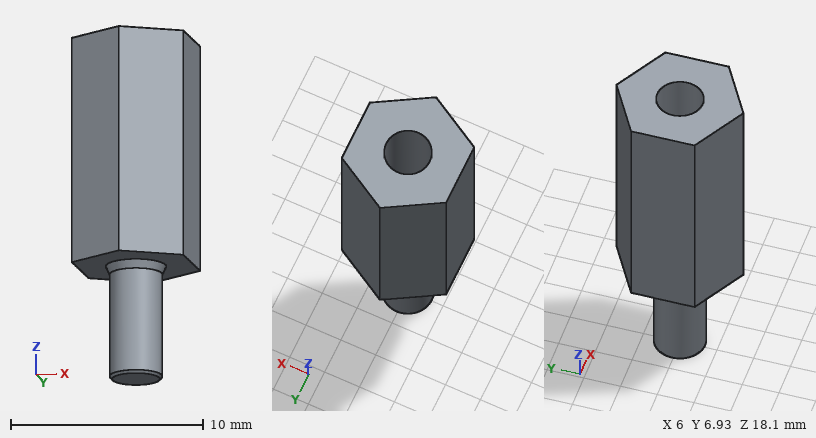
import cadquery as cq
import math

total_length = 18.1
hex_across_flats = 6.0
hex_length = 12.05
stud_diameter = 2.75
neck_diameter = 3.15
neck_height = 0.43
tip_diameter = 2.48
tip_height = 0.15
hole_diameter = 2.48
hole_depth = 8.0
drill_point_angle = 118.0

hex_across_corners = hex_across_flats / math.cos(math.radians(30))
stud_length = total_length - hex_length
hole_radius = hole_diameter / 2
drill_point_depth = hole_radius / math.tan(math.radians(drill_point_angle / 2))


def make_hex_body():
    """Hexagonal column above the stud, with two corners on the Y axis."""
    return (
        cq.Workplane("XY", origin=(0, 0, stud_length))
        .transformed(rotate=(0, 0, 90))
        .polygon(6, hex_across_corners)
        .extrude(hex_length)
    )


def make_stud():
    """Round stud with a chamfered tip and a flared neck under the hexagon."""
    return (
        cq.Workplane("XZ")
        .moveTo(0, 0)
        .lineTo(tip_diameter / 2, 0)
        .lineTo(stud_diameter / 2, tip_height)
        .lineTo(stud_diameter / 2, stud_length - neck_height)
        .lineTo(neck_diameter / 2, stud_length)
        .lineTo(0, stud_length)
        .close()
        .revolve(360, (0, 0), (0, 1))
    )


def make_blind_hole():
    """Drilled hole from the top face, ending in a conical drill point."""
    hole_floor = total_length - hole_depth
    return (
        cq.Workplane("XZ")
        .moveTo(0, total_length)
        .lineTo(hole_radius, total_length)
        .lineTo(hole_radius, hole_floor)
        .lineTo(0, hole_floor - drill_point_depth)
        .close()
        .revolve(360, (0, 0), (0, 1))
    )


result = make_hex_body().union(make_stud()).cut(make_blind_hole())